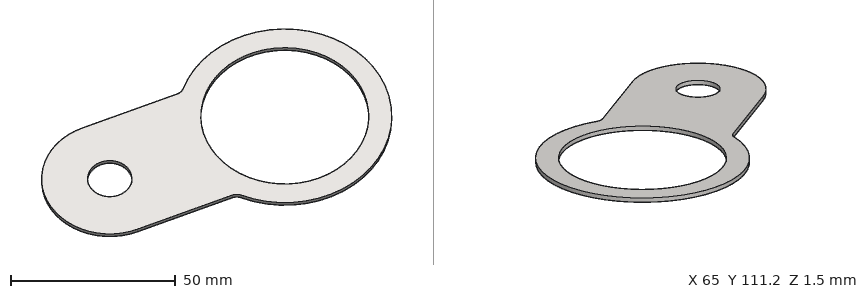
import cadquery as cq

overall_length = 111.2
thickness = 1.5
ring_diameter = 65.0
ring_bore = 51.0
tab_width = 41.4
tab_hole = 13.5
neck_fillet = 3.3

tab_radius = tab_width / 2
tab_end_y = -(overall_length - ring_diameter / 2 - tab_radius)


def disc(diameter, y):
    """Plate-thick disc centred on the Y axis."""
    return cq.Workplane("XY").center(0, y).circle(diameter / 2).extrude(thickness)


tab = cq.Workplane("XY").center(0, tab_end_y / 2).rect(tab_width, -tab_end_y).extrude(thickness)
plate = disc(ring_diameter, 0).union(tab).union(disc(tab_width, tab_end_y))

ring_radius = ring_diameter / 2
neck_y = -((ring_radius**2 - tab_radius**2) ** 0.5)
for side in (-1, 1):
    neck_point = (side * tab_radius, neck_y, thickness / 2)
    neck_edge = cq.selectors.NearestToPointSelector(neck_point)
    plate = plate.edges("|Z").edges(neck_edge).fillet(neck_fillet)

result = plate.cut(disc(ring_bore, 0)).cut(disc(tab_hole, tab_end_y))